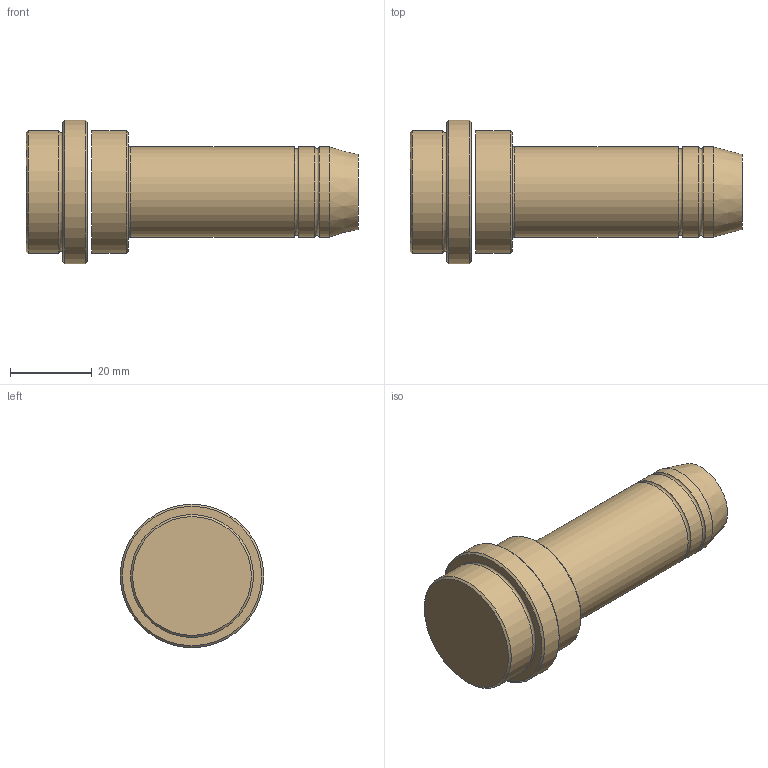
import cadquery as cq
import math


head_diameter = 30.0
flange_diameter = 35.0
shaft_diameter = 22.0

total_length = 81.0
flange_start = 9.0
flange_width = 6.0
head_length = 25.0
lead_taper_length = 7.0
lead_taper_angle = 15.0

edge_chamfer = 0.5
groove_radius = 0.5
shaft_root_fillet = 0.5
shaft_groove_centers = (66.0, 71.0)

head_radius = head_diameter / 2
flange_radius = flange_diameter / 2
shaft_radius = shaft_diameter / 2
flange_end = flange_start + flange_width
tip_radius = shaft_radius - lead_taper_length * math.tan(math.radians(lead_taper_angle))


def cylinder(start, end, radius):
    """Solid cylinder along X between two axial positions."""
    return cq.Workplane("YZ", origin=(start, 0, 0)).circle(radius).extrude(end - start)


def round_groove(center, surface_radius):
    """Ring that cuts a half-round groove into a cylinder of the given radius."""
    return (
        cq.Workplane("XY")
        .center(center, surface_radius)
        .circle(groove_radius)
        .revolve(360, (0, -surface_radius, 0), (1, -surface_radius, 0))
    )


def make_head():
    """Head cylinder with both end edges chamfered."""
    return cylinder(0, head_length, head_radius).faces("<X or >X").chamfer(edge_chamfer)


def make_flange():
    """Collar with both rims chamfered."""
    return cylinder(flange_start, flange_end, flange_radius).faces("<X or >X").chamfer(edge_chamfer)


def make_shaft():
    """Shaft with a rounded root at the head and a tapered lead-in at the tip."""
    root_end = head_length + shaft_root_fillet
    root_radius = shaft_radius + shaft_root_fillet
    arc_offset = shaft_root_fillet * math.sqrt(0.5)
    root_middle = (root_end - arc_offset, root_radius - arc_offset)
    return (
        cq.Workplane("XY")
        .moveTo(head_length, 0)
        .lineTo(head_length, root_radius)
        .threePointArc(root_middle, (root_end, shaft_radius))
        .lineTo(total_length - lead_taper_length, shaft_radius)
        .lineTo(total_length, tip_radius)
        .lineTo(total_length, 0)
        .close()
        .revolve(360, (0, 0, 0), (1, 0, 0))
    )


def cut_grooves(body):
    """Cut half-round reliefs beside the flange and around the shaft."""
    for center in (flange_start - groove_radius, flange_end + groove_radius):
        body = body.cut(round_groove(center, head_radius))
    for center in shaft_groove_centers:
        body = body.cut(round_groove(center, shaft_radius))
    return body


result = cut_grooves(make_head().union(make_flange()).union(make_shaft()))